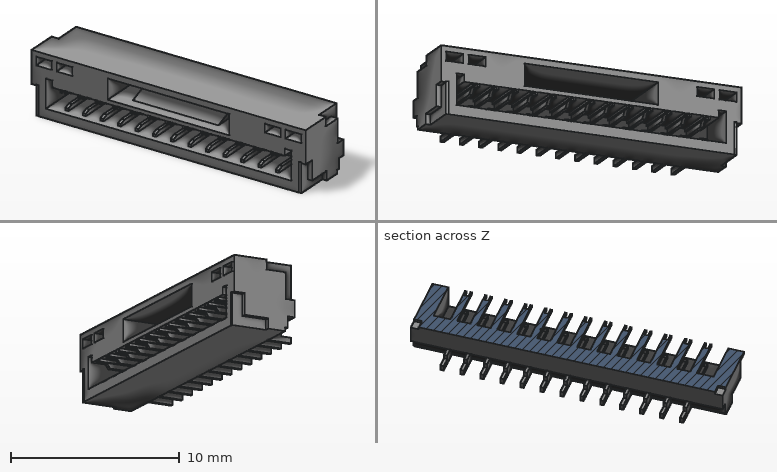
import cadquery as cq

LENGTH = 19.5
TOTAL_DEPTH = 4.95
HEIGHT = 4.25
HALF_LENGTH = LENGTH / 2

REAR_Y = 4.05
LOWER_REAR_Y = 3.59
OVERHANG_Z = 0.94
FOOT_NOTCH_Y = 3.41
FOOT_NOTCH_Z = 0.23

EAR_CUT_WIDTH = 0.49
SHELF_FRONT_Y = 2.16
SHELF_Z = 3.63
EAR_FRONT_Y = 3.45
EAR_Z = 1.99

NAIL_RECESS_WIDTH = 0.31
NAIL_UPRIGHT_DEPTH = 0.7
NAIL_UPRIGHT_Z = 1.99
NAIL_BASE_DEPTH = 2.26
NAIL_BASE_Z = 0.65
NAIL_THICKNESS = 0.18
NAIL_TOP_Z = 2.05
NAIL_SETBACK = 0.02

CAVITY_HALF_WIDTH = 8.74
CAVITY_FLOOR_Z = 0.65
CAVITY_CEILING_Z = 2.16
CAVITY_DEPTH = 2.73
KEY_SLOT_WIDTH = 0.47
KEY_SLOT_Z = 2.63

WINDOW_HALF_WIDTH = 4.33
WINDOW_FLOOR_Z = 2.44
WINDOW_TOP_Z = 3.85
RAMP_HALF_WIDTH = 3.05
RAMP_FRONT_Y = 0.76
RAMP_LENGTH = 1.1
RAMP_HEIGHT = 0.4

POCKET_WIDTH = 1.11
POCKET_BOTTOM_Z = 3.32
POCKET_TOP_Z = 3.9
POCKET_DEPTH = 1.56
POCKET_CENTERS_X = (7.41, 8.87)

PIN_COUNT = 13
PIN_PITCH = 1.25
PIN_WIDTH = 0.21
PIN_TIP_Y = 0.37
LOWER_ARM_BOTTOM_Z = 0.7
LOWER_ARM_TOP_Z = 1.0
LOWER_TIP_HEIGHT = 0.15
LOWER_BEVEL_LENGTH = 0.39
UPPER_ARM_BOTTOM_Z = 1.68
UPPER_BEVEL_LENGTH = 0.39
RIB_WIDTH = 0.12
RIB_HEIGHT = 0.18
TAIL_STEP_Y = 4.29
TAIL_STEP_Z = 0.65
TAIL_FOOT_Z = 0.35
PIN_X = [(i - (PIN_COUNT - 1) / 2) * PIN_PITCH for i in range(PIN_COUNT)]


def block(x0, x1, y0, y1, z0, z1):
    """Axis-aligned box between two opposite corners."""
    return cq.Workplane("XY").box(x1 - x0, y1 - y0, z1 - z0, centered=False).translate((x0, y0, z0))


def side_prism(points, x0, x1):
    """Prism with a closed (Y, Z) outline, spanning x0 to x1."""
    return cq.Workplane("YZ").polyline(points).close().extrude(x1 - x0).translate((x0, 0, 0))


def both_ends(solid):
    """A feature at the +X end together with its mirror image at the -X end."""
    return solid.union(solid.mirror("YZ"))


def housing_block():
    outline = [
        (0, 0),
        (FOOT_NOTCH_Y, 0),
        (FOOT_NOTCH_Y, FOOT_NOTCH_Z),
        (LOWER_REAR_Y, FOOT_NOTCH_Z),
        (LOWER_REAR_Y, OVERHANG_Z),
        (REAR_Y, OVERHANG_Z),
        (REAR_Y, HEIGHT),
        (0, HEIGHT),
    ]
    return side_prism(outline, -HALF_LENGTH, HALF_LENGTH)


def rear_corner_cuts():
    outline = [
        (SHELF_FRONT_Y, HEIGHT),
        (SHELF_FRONT_Y, SHELF_Z),
        (EAR_FRONT_Y, SHELF_Z),
        (EAR_FRONT_Y, EAR_Z),
        (REAR_Y, EAR_Z),
        (REAR_Y, HEIGHT),
    ]
    return both_ends(side_prism(outline, HALF_LENGTH - EAR_CUT_WIDTH, HALF_LENGTH))


def nail_recesses():
    outline = [
        (0, 0),
        (NAIL_BASE_DEPTH, 0),
        (NAIL_BASE_DEPTH, NAIL_BASE_Z),
        (NAIL_UPRIGHT_DEPTH, NAIL_BASE_Z),
        (NAIL_UPRIGHT_DEPTH, NAIL_UPRIGHT_Z),
        (0, NAIL_UPRIGHT_Z),
    ]
    nail_outer_x = HALF_LENGTH - NAIL_RECESS_WIDTH
    recess = side_prism(outline, nail_outer_x, HALF_LENGTH)
    nail_edge = block(nail_outer_x - NAIL_THICKNESS, nail_outer_x, 0, NAIL_SETBACK, 0, NAIL_TOP_Z)
    return both_ends(recess.union(nail_edge))


def mating_cavity():
    cavity = block(
        -CAVITY_HALF_WIDTH, CAVITY_HALF_WIDTH, 0, CAVITY_DEPTH, CAVITY_FLOOR_Z, CAVITY_CEILING_Z
    )
    key_slot = block(
        CAVITY_HALF_WIDTH - KEY_SLOT_WIDTH, CAVITY_HALF_WIDTH, 0, CAVITY_DEPTH, CAVITY_FLOOR_Z, KEY_SLOT_Z
    )
    return cavity.union(both_ends(key_slot))


def latch_window():
    window = block(-WINDOW_HALF_WIDTH, WINDOW_HALF_WIDTH, 0, REAR_Y, WINDOW_FLOOR_Z, WINDOW_TOP_Z)
    ramp_rear_y = RAMP_FRONT_Y + RAMP_LENGTH
    ramp_outline = [
        (RAMP_FRONT_Y, WINDOW_FLOOR_Z),
        (ramp_rear_y, WINDOW_FLOOR_Z),
        (ramp_rear_y, WINDOW_FLOOR_Z + RAMP_HEIGHT),
    ]
    return window.cut(side_prism(ramp_outline, -RAMP_HALF_WIDTH, RAMP_HALF_WIDTH))


def end_pocket(center_x):
    half_width = POCKET_WIDTH / 2
    return both_ends(
        block(center_x - half_width, center_x + half_width, 0, POCKET_DEPTH, POCKET_BOTTOM_Z, POCKET_TOP_Z)
    )


def ceiling_ribs(x):
    """Pair of ribs below the cavity ceiling, one on each side of a contact."""
    inner = PIN_WIDTH / 2
    outer = inner + RIB_WIDTH
    rib_bottom_z = CAVITY_CEILING_Z - RIB_HEIGHT
    left = block(x - outer, x - inner, 0, CAVITY_DEPTH, rib_bottom_z, CAVITY_CEILING_Z)
    right = block(x + inner, x + outer, 0, CAVITY_DEPTH, rib_bottom_z, CAVITY_CEILING_Z)
    return left.union(right)


def contact(x):
    """Contact with two bevelled arms in the cavity and a stepped solder tail at the rear."""
    lower_arm = [
        (PIN_TIP_Y, LOWER_ARM_BOTTOM_Z),
        (CAVITY_DEPTH, LOWER_ARM_BOTTOM_Z),
        (CAVITY_DEPTH, LOWER_ARM_TOP_Z),
        (PIN_TIP_Y + LOWER_BEVEL_LENGTH, LOWER_ARM_TOP_Z),
        (PIN_TIP_Y, LOWER_ARM_BOTTOM_Z + LOWER_TIP_HEIGHT),
    ]
    upper_arm = [
        (PIN_TIP_Y, CAVITY_CEILING_Z),
        (PIN_TIP_Y + UPPER_BEVEL_LENGTH, UPPER_ARM_BOTTOM_Z),
        (CAVITY_DEPTH, UPPER_ARM_BOTTOM_Z),
        (CAVITY_DEPTH, CAVITY_CEILING_Z),
    ]
    tail = [
        (FOOT_NOTCH_Y, 0),
        (TOTAL_DEPTH, 0),
        (TOTAL_DEPTH, TAIL_FOOT_Z),
        (TAIL_STEP_Y, TAIL_FOOT_Z),
        (TAIL_STEP_Y, TAIL_STEP_Z),
        (FOOT_NOTCH_Y, TAIL_STEP_Z),
    ]
    x0 = x - PIN_WIDTH / 2
    x1 = x + PIN_WIDTH / 2
    return side_prism(lower_arm, x0, x1).union(side_prism(upper_arm, x0, x1)).union(side_prism(tail, x0, x1))


result = housing_block().cut(rear_corner_cuts()).cut(nail_recesses())
result = result.cut(mating_cavity()).cut(latch_window())
for pocket_x in POCKET_CENTERS_X:
    result = result.cut(end_pocket(pocket_x))
for pin_x in PIN_X:
    result = result.union(ceiling_ribs(pin_x)).union(contact(pin_x))